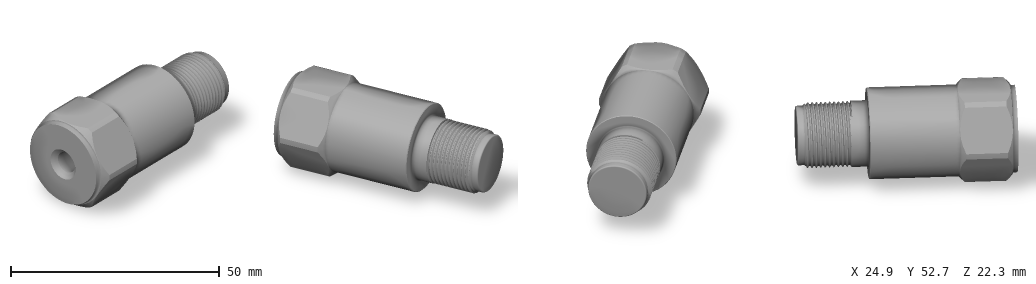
import cadquery as cq
import math

LENGTH = 52.7

HEX_FLATS = 22.25
HEX_CORNER_DIAMETER = 24.9
HEX_REAR_Y = 14.05
FACE_DIAMETER = 21.0
FACE_HEIGHT = 0.7
FACE_FILLET = 0.55

HOLE_DIAMETER = 5.4
HOLE_DEPTH = 7.9
HOLE_TIP_ANGLE = 118.0
COUNTERSINK_DIAMETER = 7.9
COUNTERSINK_ANGLE = 90.0

SLEEVE_DIAMETER = 22.05
SLEEVE_REAR_Y = 35.55
SLEEVE_CHAMFER = 0.15
NECK_FILLET = 0.3
NECK_DIAMETER = 15.9
NOSE_DIAMETER = 14.3
NOSE_LENGTH = 1.7
NOSE_FILLET = 0.3

THREAD_PITCH = 1.05
THREAD_CREST_DIAMETER = 15.75
THREAD_ROOT_DIAMETER = 14.8
THREAD_FLANK_ANGLE = 60.0
THREAD_CREST_WIDTH = 0.15
THREAD_SHOULDER_Y = 39.45
RIDGE_START_Y = 38.8
RIDGE_START_ANGLE = 180.0
THREAD_EMBED = 0.1
RUNOUT_END_ANGLE = 117.0
RUNOUT_TURNS = 0.5


def turned(profile):
    """Revolve a closed profile, drawn as (radius, Y), about the Y axis."""
    return profile.close().revolve(360, (0, 0, 0), (0, 1, 0))


def hex_prism():
    across_corners = HEX_FLATS / math.cos(math.pi / 6)
    return cq.Workplane("XZ").polygon(6, across_corners).extrude(-HEX_REAR_Y)


def turned_base():
    """Turned envelope: round face, filleted shoulder and 45 degree cones at both ends of the hexagon."""
    face_radius = FACE_DIAMETER / 2
    shoulder_radius = face_radius + FACE_FILLET
    shoulder_y = FACE_HEIGHT + FACE_FILLET
    corner_radius = HEX_CORNER_DIAMETER / 2
    front_cone = corner_radius - shoulder_radius
    rear_radius = SLEEVE_DIAMETER / 2
    rear_cone = corner_radius - rear_radius
    diagonal = FACE_FILLET * math.sqrt(0.5)
    profile = (
        cq.Workplane("XY")
        .lineTo(face_radius, 0)
        .lineTo(face_radius, FACE_HEIGHT)
        .threePointArc(
            (shoulder_radius - diagonal, FACE_HEIGHT + diagonal),
            (shoulder_radius, shoulder_y),
        )
        .lineTo(corner_radius, shoulder_y + front_cone)
        .lineTo(corner_radius, HEX_REAR_Y - rear_cone)
        .lineTo(rear_radius, HEX_REAR_Y)
        .lineTo(0, HEX_REAR_Y)
    )
    return turned(profile)


def drilled_hole():
    hole_radius = HOLE_DIAMETER / 2
    sink_radius = COUNTERSINK_DIAMETER / 2
    sink_depth = (sink_radius - hole_radius) / math.tan(math.radians(COUNTERSINK_ANGLE / 2))
    tip_length = hole_radius / math.tan(math.radians(HOLE_TIP_ANGLE / 2))
    profile = (
        cq.Workplane("XY")
        .lineTo(sink_radius, 0)
        .lineTo(hole_radius, sink_depth)
        .lineTo(hole_radius, HOLE_DEPTH)
        .lineTo(0, HOLE_DEPTH + tip_length)
    )
    return turned(profile)


def make_hex_base():
    return hex_prism().intersect(turned_base()).cut(drilled_hole())


def turned_housing():
    """Sleeve, filleted neck, thread blank with its lead-in cone, and rounded nose."""
    sleeve_radius = SLEEVE_DIAMETER / 2
    neck_radius = NECK_DIAMETER / 2
    nose_radius = NOSE_DIAMETER / 2
    nose_y = LENGTH - NOSE_LENGTH
    lead_in = neck_radius - nose_radius
    neck_arc = NECK_FILLET * (1 - math.sqrt(0.5))
    nose_arc = NOSE_FILLET * (1 - math.sqrt(0.5))
    profile = (
        cq.Workplane("XY")
        .moveTo(0, HEX_REAR_Y)
        .lineTo(sleeve_radius, HEX_REAR_Y)
        .lineTo(sleeve_radius, SLEEVE_REAR_Y - SLEEVE_CHAMFER)
        .lineTo(sleeve_radius - SLEEVE_CHAMFER, SLEEVE_REAR_Y)
        .lineTo(neck_radius + NECK_FILLET, SLEEVE_REAR_Y)
        .threePointArc(
            (neck_radius + neck_arc, SLEEVE_REAR_Y + neck_arc),
            (neck_radius, SLEEVE_REAR_Y + NECK_FILLET),
        )
        .lineTo(neck_radius, nose_y - lead_in)
        .lineTo(nose_radius, nose_y)
        .lineTo(nose_radius, LENGTH - NOSE_FILLET)
        .threePointArc(
            (nose_radius - nose_arc, LENGTH - nose_arc),
            (nose_radius - NOSE_FILLET, LENGTH),
        )
        .lineTo(0, LENGTH)
    )
    return turned(profile)


def swept_helix(section_points, height, start_angle, start_y):
    """Sweep a (radius, axial offset) section along the thread helix, starting at the given angle and Y."""
    helix = cq.Wire.makeHelix(THREAD_PITCH, height, THREAD_ROOT_DIAMETER / 2)
    section = cq.Workplane("XZ").polyline(section_points).close()
    return (
        section.sweep(cq.Workplane(helix), isFrenet=True)
        .rotate((0, 0, 0), (1, 0, 0), -90)
        .rotate((0, 0, 0), (0, 1, 0), -start_angle)
        .translate((0, start_y, 0))
    )


def thread_ridge():
    crest_radius = THREAD_CREST_DIAMETER / 2
    base_radius = THREAD_ROOT_DIAMETER / 2 - THREAD_EMBED
    crest_half_width = THREAD_CREST_WIDTH / 2
    flank_run = (crest_radius - base_radius) * math.tan(math.radians(THREAD_FLANK_ANGLE / 2))
    base_half_width = crest_half_width + flank_run
    section_points = [
        (base_radius, -base_half_width),
        (crest_radius, -crest_half_width),
        (crest_radius, crest_half_width),
        (base_radius, base_half_width),
    ]
    height = LENGTH - NOSE_LENGTH - RIDGE_START_Y
    return swept_helix(section_points, height, RIDGE_START_ANGLE, RIDGE_START_Y)


def thread_runout():
    """Helical end of the neck: a band one pitch wide whose upper edge follows the ridge crest."""
    base_radius = THREAD_ROOT_DIAMETER / 2 - THREAD_EMBED
    outer_radius = NECK_DIAMETER / 2 + THREAD_EMBED
    section_points = [
        (base_radius, -THREAD_PITCH),
        (outer_radius, -THREAD_PITCH),
        (outer_radius, 0),
        (base_radius, 0),
    ]
    start_angle = RUNOUT_END_ANGLE + 360 * RUNOUT_TURNS
    turns_from_ridge_start = 1 - (start_angle - RIDGE_START_ANGLE) / 360
    start_y = RIDGE_START_Y + THREAD_PITCH * turns_from_ridge_start
    return swept_helix(section_points, THREAD_PITCH * RUNOUT_TURNS, start_angle, start_y)


def thread_clearance():
    """Ring outside the root diameter, from the thread shoulder to the rear, less ridge and runout."""
    ring = (
        cq.Workplane("XZ", origin=(0, THREAD_SHOULDER_Y, 0))
        .circle(SLEEVE_DIAMETER / 2)
        .circle(THREAD_ROOT_DIAMETER / 2)
        .extrude(THREAD_SHOULDER_Y - LENGTH)
    )
    return ring.cut(thread_ridge()).cut(thread_runout())


def make_connector_housing():
    return turned_housing().cut(thread_clearance())


hex_base = make_hex_base()
connector_housing = make_connector_housing()
result = cq.Compound.makeCompound([hex_base.solids().val(), connector_housing.solids().val()])